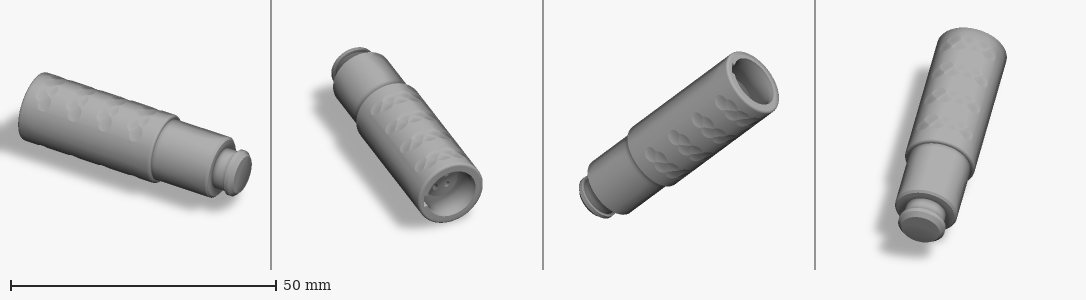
import cadquery as cq

TOTAL_LENGTH = 44.5

GRIP_RADIUS = 6.75
GRIP_LENGTH = 28.2
GRIP_EDGE_ROUND = 0.5

BARREL_RADIUS = 6.0
BARREL_END_X = 40.1
BARREL_CHAMFER = 0.4

NECK_RADIUS = 3.95
FLANGE_RADIUS = 4.5
FLANGE_LENGTH = 1.6
FLANGE_CHAMFER = 0.8
FLANGE_START_X = TOTAL_LENGTH - FLANGE_LENGTH

SOCKET_RADIUS = 5.05
SOCKET_DEPTH = 10.0
KEYWAY_WIDTH = 2.5
KEYWAY_REACH = 5.65

INSERT_RADIUS = 3.5
INSERT_FACE_X = 4.6
CONTACT_SPACING = 2.4
CONTACT_HOLE_RADIUS = 0.45
CONTACT_HOLE_DEPTH = 5.0
CONTACT_CHAMFER = 0.15

SCALLOP_DEPTH = 0.19
SCALLOP_HALF_LENGTH = 1.27
SCALLOP_STEP_ANGLE = 13.0
SCALLOP_OUTER_STEP = 3
SCALLOP_FIRST_X = 3.4
SCALLOP_STAGGER = 1.0
BAND_PITCH = 6.5
BAND_COUNT = 4


def x_cylinder(radius, start_x, end_x):
    """Solid cylinder on the X axis."""
    return cq.Workplane("YZ", origin=(start_x, 0, 0)).circle(radius).extrude(end_x - start_x)


def make_body():
    """Solid outer shape: grip, barrel, neck and flange."""
    grip = x_cylinder(GRIP_RADIUS, 0, GRIP_LENGTH).edges().fillet(GRIP_EDGE_ROUND)
    barrel = x_cylinder(BARREL_RADIUS, GRIP_LENGTH, BARREL_END_X).faces(">X").chamfer(BARREL_CHAMFER)
    neck = x_cylinder(NECK_RADIUS, BARREL_END_X, FLANGE_START_X)
    flange = x_cylinder(FLANGE_RADIUS, FLANGE_START_X, TOTAL_LENGTH).faces(">X").chamfer(FLANGE_CHAMFER)
    return grip.union(barrel).union(neck).union(flange)


def make_socket():
    """Cutter for the round socket and its rectangular keyway."""
    keyway = cq.Workplane("XY").box(
        SOCKET_DEPTH, KEYWAY_REACH, KEYWAY_WIDTH, centered=(False, False, True)
    )
    return x_cylinder(SOCKET_RADIUS, 0, SOCKET_DEPTH).union(keyway)


def make_insert():
    """Round insert with four chamfered blind contact holes in its face."""
    contact_holes = (
        cq.Workplane("YZ", origin=(INSERT_FACE_X, 0, 0))
        .rarray(CONTACT_SPACING, CONTACT_SPACING, 2, 2)
        .circle(CONTACT_HOLE_RADIUS)
        .extrude(CONTACT_HOLE_DEPTH)
    )
    insert = x_cylinder(INSERT_RADIUS, INSERT_FACE_X, SOCKET_DEPTH).cut(contact_holes)
    hole_mouths = insert.faces("<X").edges(cq.selectors.RadiusNthSelector(0))
    return hole_mouths.chamfer(CONTACT_CHAMFER)


def make_scallop(x, angle):
    """Cylindrical cutter lying across the top of the grip, then turned about X by the angle."""
    radius = (SCALLOP_HALF_LENGTH**2 + SCALLOP_DEPTH**2) / (2 * SCALLOP_DEPTH)
    axis_height = GRIP_RADIUS - SCALLOP_DEPTH + radius
    return (
        cq.Workplane("XZ", origin=(x, 0, axis_height))
        .circle(radius)
        .extrude(GRIP_RADIUS / 2, both=True)
        .rotate((0, 0, 0), (1, 0, 0), angle)
    )


def cut_scallops(body):
    """Cut every band; odd steps form the row set back by the stagger."""
    for band in range(BAND_COUNT):
        band_x = SCALLOP_FIRST_X + band * BAND_PITCH
        for step in range(-SCALLOP_OUTER_STEP, SCALLOP_OUTER_STEP + 1):
            x = band_x + (step % 2) * SCALLOP_STAGGER
            for side_angle in (0, 180):
                body = body.cut(make_scallop(x, side_angle + step * SCALLOP_STEP_ANGLE))
    return body


sleeve = cut_scallops(make_body()).cut(make_socket())
result = sleeve.union(make_insert())